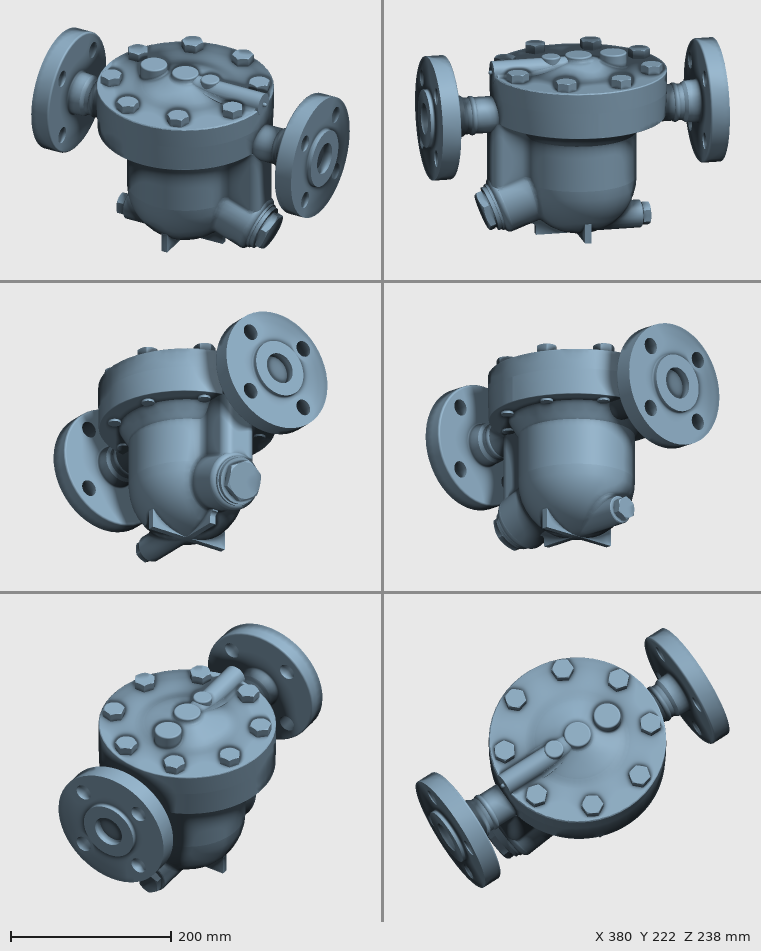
import cadquery as cq
import math


quarter_arc = math.sqrt(0.5)

inlet_face_x = -182.5
outlet_face_x = 197.5
flange_diameter = 156.0
flange_thickness = 24.0
flange_edge_round = 2.5
raised_face_diameter = 73.0
raised_face_height = 6.0
raised_face_fillet = 2.0
bore_diameter = 40.0
bore_depth = 12.0
flange_hole_diameter = 21.0
flange_hole_circle = 115.0
flange_hole_count = 4
first_flange_hole_angle = 45.0
hub_base_diameter = 58.0
hub_fillet = 2.0
hub_end_diameter = 52.0
hub_length = 16.5
hub_taper_length = 4.5
pipe_diameter = 46.0
weld_diameter = 49.5
weld_length = 7.0
weld_middle = 30.0
pipe_inner_end_x = 40.0

body_radius = 73.0
dome_center_z = -87.0
body_bottom_z = dome_center_z - body_radius
flare_bottom_z = -28.0
flare_top_radius = 85.5

cover_diameter = 222.0
cover_radius = cover_diameter / 2
cover_top_z = 52.0
joint_z = 26.0
body_flange_bottom_z = -7.0
body_flange_draft = 2.0
cover_edge_round = 1.5
body_flange_edge_round = 1.0

crown_base_diameter = 130.0
crown_cone_start_radius = 53.5
crown_cone_start_z = cover_top_z + 1.6
crown_cone_end_z = 64.5
boss_top_z = 71.0
boss_diameter = 34.0
boss_edge_round = 2.0
center_boss_fillet = 4.5
side_boss_x = -44.5
side_boss_fillet = 2.0
small_boss_x = 35.3
small_boss_diameter = 24.0

channel_radius = 14.4
channel_axis_z = 54.3
channel_fillet = 5.0
channel_foot_end_x = 107.0
channel_boss_overlap = 1.0
pin_diameter = 5.4
pin_tip_x = 115.4
pin_tip_round = 2.4

bolt_count = 8
bolt_circle = 186.0
bolt_hex_flats = 24.0
bolt_head_height = 11.0
bolt_shank_diameter = 16.0
bolt_protrusion = 3.0

column_half_width = 24.0
column_outer_x = 114.4
column_corner_radius = 12.5
column_fillet = 10.0

port_tilt = 20.0
port_end_x = 123.7
port_end_z = -127.2
port_radius = 36.5
port_shoulder_start = 27.0
port_collar_start = 19.0
port_collar_radius = 31.0
port_rim_start = 16.0
port_rim_radius = 29.0
port_rim_end = 11.0
port_neck_diameter = 45.9
port_hex_flats = 46.0
port_hex_length = 9.0
port_end_root = 54.0
port_fillet = 6.0

port_seam_half_width = 40.0
port_dome_seam_x = (50.0, 60.0)
port_dome_seam_z = (-122.0, -115.0)
port_column_seam_x = (60.0, 105.5)
port_column_seam_z = (-95.0, -78.0)

drain_diameter = 35.0
drain_rise = 0.3
drain_axis_z = body_bottom_z + drain_diameter / 2 + drain_rise
drain_boss_end_x = -79.5
drain_edge_chamfer = 1.0
drain_fillet = 5.0
drain_neck_diameter = 24.0
drain_neck_length = 1.7
drain_hex_flats = 26.0
drain_hex_length = 9.5

selection_margin = 0.1

foot_thickness = 8.0
cross_foot_width = 111.0
cross_foot_top_z = -135.0
long_foot_end_x = 55.0
long_foot_end_height = 9.0
long_foot_corner_radius = 6.0


def edges_in(shape, low, high):
    """Edges of a shape whose centres lie in the box between two corners."""
    return shape.edges(cq.selectors.BoxSelector(low, high))


def hex_head(flats, height):
    """Hexagonal head along +Z from Z = 0, corners on X, outer corners turned to a cone."""
    corners = flats / math.cos(math.radians(30))
    cone_rise = (corners - flats) / 2 * math.tan(math.radians(30))
    prism = cq.Workplane("XY").polygon(6, corners).extrude(height)
    turned = (
        cq.Workplane("XZ")
        .moveTo(0, 0)
        .lineTo(corners / 2, 0)
        .lineTo(corners / 2, height - cone_rise)
        .lineTo(flats / 2, height)
        .lineTo(0, height)
        .close()
        .revolve(360, (0, 0), (0, 1))
    )
    return prism.intersect(turned)


def pipe_end(face_x, toward_body):
    """Flange, hub, weld bead and pipe; built along +Z from the sealing face, then laid on X."""
    back_z = raised_face_height + flange_thickness
    hub_end_z = back_z + hub_length
    taper_end_z = hub_end_z + hub_taper_length
    weld_start_z = back_z + weld_middle - weld_length / 2
    weld_end_z = weld_start_z + weld_length
    pipe_length = abs(face_x) - pipe_inner_end_x
    face_radius = raised_face_diameter / 2
    pipe_radius = pipe_diameter / 2
    hub_radius = hub_base_diameter / 2 - hub_fillet
    arc_offset = 1 - quarter_arc
    profile = (
        cq.Workplane("XZ")
        .moveTo(0, 0)
        .lineTo(face_radius, 0)
        .lineTo(face_radius, raised_face_height - raised_face_fillet)
        .threePointArc(
            (face_radius + raised_face_fillet * arc_offset,
             raised_face_height - raised_face_fillet * arc_offset),
            (face_radius + raised_face_fillet, raised_face_height),
        )
        .lineTo(flange_diameter / 2, raised_face_height)
        .lineTo(flange_diameter / 2, back_z - flange_edge_round)
        .threePointArc(
            (flange_diameter / 2 - flange_edge_round * arc_offset,
             back_z - flange_edge_round * arc_offset),
            (flange_diameter / 2 - flange_edge_round, back_z),
        )
        .lineTo(hub_base_diameter / 2, back_z)
        .threePointArc(
            (hub_radius + hub_fillet * arc_offset, back_z + hub_fillet * arc_offset),
            (hub_radius, back_z + hub_fillet),
        )
        .lineTo(hub_end_diameter / 2, hub_end_z)
        .lineTo(pipe_radius, taper_end_z)
        .lineTo(pipe_radius, weld_start_z)
        .threePointArc((weld_diameter / 2, back_z + weld_middle), (pipe_radius, weld_end_z))
        .lineTo(pipe_radius, pipe_length)
        .lineTo(0, pipe_length)
        .close()
    )
    end = profile.revolve(360, (0, 0), (0, 1))
    holes = (
        cq.Workplane("XY")
        .polarArray(flange_hole_circle / 2, first_flange_hole_angle, 360, flange_hole_count)
        .circle(flange_hole_diameter / 2)
        .extrude(back_z)
    )
    bore = cq.Workplane("XY").circle(bore_diameter / 2).extrude(bore_depth)
    end = end.cut(holes).cut(bore)
    return end.rotate((0, 0, 0), (0, 1, 0), 90 * toward_body).translate((face_x, 0, 0))


def vessel():
    """Cylinder with a hemispherical bottom and a flare up to the body flange."""
    return (
        cq.Workplane("XZ")
        .moveTo(0, body_bottom_z)
        .threePointArc(
            (body_radius * quarter_arc, dome_center_z - body_radius * quarter_arc),
            (body_radius, dome_center_z),
        )
        .lineTo(body_radius, flare_bottom_z)
        .lineTo(flare_top_radius, body_flange_bottom_z)
        .lineTo(0, body_flange_bottom_z)
        .close()
        .revolve(360, (0, 0), (0, 1))
    )


def body_flange():
    """Flange with draft on its X sides only: round at the joint, slightly oval below."""
    return (
        cq.Workplane("XY", origin=(0, 0, joint_z))
        .circle(cover_radius)
        .workplane(offset=body_flange_bottom_z - joint_z)
        .ellipse(cover_radius - body_flange_draft, cover_radius)
        .loft(combine=True)
        .faces("<Z")
        .edges()
        .fillet(body_flange_edge_round)
    )


def cover_boss(x, diameter):
    """Round boss on the cover at a given X, with a rounded top edge."""
    return (
        cq.Workplane("XY", origin=(x, 0, joint_z))
        .circle(diameter / 2)
        .extrude(boss_top_z - joint_z)
        .faces(">Z")
        .edges()
        .fillet(boss_edge_round)
    )


def crown():
    """Shallow cone on the cover, blended into the flat top by an arc tangent to it."""
    base_radius = crown_base_diameter / 2
    run = base_radius - crown_cone_start_radius
    rise = crown_cone_start_z - cover_top_z
    blend_radius = (run**2 + rise**2) / (2 * rise)
    half_angle = math.atan2(rise, run)
    blend_middle = (
        base_radius - blend_radius * math.sin(half_angle),
        cover_top_z + blend_radius * (1 - math.cos(half_angle)),
    )
    return (
        cq.Workplane("XZ")
        .moveTo(0, joint_z)
        .lineTo(base_radius, joint_z)
        .lineTo(base_radius, cover_top_z)
        .threePointArc(blend_middle, (crown_cone_start_radius, crown_cone_start_z))
        .lineTo(boss_diameter / 2, crown_cone_end_z)
        .lineTo(0, crown_cone_end_z)
        .close()
        .revolve(360, (0, 0), (0, 1))
    )


def channel_foot_section(x, floor_z):
    """Section at X of the two concave fillets between the channel and a floor at floor_z."""
    rise = floor_z + channel_fillet - channel_axis_z
    reach = channel_radius + channel_fillet
    center_y = math.sqrt(reach**2 - rise**2)
    center_z = floor_z + channel_fillet
    touch_y = center_y * channel_radius / reach
    touch_z = channel_axis_z + rise * channel_radius / reach
    middle_angle = (math.atan2(-rise, -center_y) % (2 * math.pi) + 3 * math.pi / 2) / 2
    middle_y = center_y + channel_fillet * math.cos(middle_angle)
    middle_z = center_z + channel_fillet * math.sin(middle_angle)
    return (
        cq.Workplane("YZ", origin=(x, 0, 0))
        .moveTo(-center_y, joint_z)
        .lineTo(-center_y, floor_z)
        .threePointArc((-middle_y, middle_z), (-touch_y, touch_z))
        .lineTo(touch_y, touch_z)
        .threePointArc((middle_y, middle_z), (center_y, floor_z))
        .lineTo(center_y, joint_z)
        .close()
    )


def crown_height(x):
    """Height of the crown cone beside the channel at a given X, not below the cover top."""
    slope = (crown_cone_end_z - crown_cone_start_z) / (crown_cone_start_radius - boss_diameter / 2)
    radius = math.hypot(x, channel_radius)
    return max(cover_top_z, crown_cone_start_z + slope * (crown_cone_start_radius - radius))


def channel():
    """Round-topped channel running radially from the centre boss to the +X rim, with a pin."""
    round_top = (
        cq.Workplane("YZ", origin=(0, 0, channel_axis_z))
        .circle(channel_radius)
        .extrude(cover_radius)
    )
    crown_edge_x = crown_base_diameter / 2
    level_length = channel_foot_end_x - crown_edge_x
    level_foot = channel_foot_section(crown_edge_x, cover_top_z).extrude(level_length)
    start_x = boss_diameter / 2 - channel_boss_overlap
    middle_x = (start_x + crown_edge_x) / 2
    stations = [start_x, middle_x, crown_edge_x]
    wires = [channel_foot_section(x, crown_height(x)).val() for x in stations]
    sloped_foot = cq.Workplane(cq.Solid.makeLoft(wires))
    pin_radius = pin_diameter / 2
    pin = (
        cq.Workplane("YZ", origin=(cover_radius / 2, 0, channel_axis_z))
        .circle(pin_radius)
        .extrude(pin_tip_x - cover_radius / 2)
        .faces(">X")
        .edges()
        .fillet(pin_tip_round)
    )
    return round_top.union(level_foot).union(sloped_foot).union(pin)


def cover():
    """Cover plate with its crown, bosses and channel."""
    plate = (
        cq.Workplane("XY", origin=(0, 0, joint_z))
        .circle(cover_radius)
        .extrude(cover_top_z - joint_z)
        .faces(">Z")
        .edges()
        .fillet(cover_edge_round)
    )
    with_center = plate.union(crown()).union(cover_boss(0, boss_diameter))
    root_low = (-selection_margin, -selection_margin, crown_cone_end_z - selection_margin)
    root_high = (selection_margin, selection_margin, crown_cone_end_z + selection_margin)
    center_root = edges_in(with_center, root_low, root_high)
    with_side = center_root.fillet(center_boss_fillet).union(cover_boss(side_boss_x, boss_diameter))
    side_low = (side_boss_x - boss_diameter / 2, -boss_diameter / 2, cover_top_z)
    side_high = (side_boss_x + boss_diameter / 2, boss_diameter / 2, crown_cone_end_z)
    rounded = edges_in(with_side, side_low, side_high).fillet(side_boss_fillet)
    return rounded.union(channel()).union(cover_boss(small_boss_x, small_boss_diameter))


def cover_bolts():
    """Bolt heads on the cover and the shank ends below the body flange."""
    shank_bottom_z = body_flange_bottom_z - bolt_protrusion
    pitch = 360 / bolt_count
    head = (
        hex_head(bolt_hex_flats, bolt_head_height)
        .rotate((0, 0, 0), (0, 0, 1), pitch / 2)
        .translate((0, 0, cover_top_z))
    )
    shank = (
        cq.Workplane("XY", origin=(0, 0, shank_bottom_z))
        .circle(bolt_shank_diameter / 2)
        .extrude(cover_top_z - shank_bottom_z)
    )
    first_bolt = head.union(shank).translate((bolt_circle / 2, 0, 0))
    bolts = cq.Workplane("XY")
    for index in range(bolt_count):
        bolts = bolts.add(first_bolt.rotate((0, 0, 0), (0, 0, 1), (index + 0.5) * pitch))
    return bolts.combine()


def port_height_at(x):
    """Height of the tilted port axis at a given X."""
    return port_end_z + (port_end_x - x) * math.tan(math.radians(port_tilt))


def column():
    """Flat-sided column with rounded outer corners, blended into the body by concave arcs."""
    arc_center_y = column_half_width + column_fillet
    arc_distance = body_radius + column_fillet
    arc_center_x = math.sqrt(arc_distance**2 - arc_center_y**2)
    touch_x = arc_center_x * body_radius / arc_distance
    touch_y = arc_center_y * body_radius / arc_distance
    touch_angle = math.pi + math.atan2(arc_center_y, arc_center_x)
    middle_angle = (touch_angle + 3 * math.pi / 2) / 2
    middle_x = arc_center_x + column_fillet * math.cos(middle_angle)
    middle_y = arc_center_y + column_fillet * math.sin(middle_angle)
    corner_x = column_outer_x - column_corner_radius
    corner_y = column_half_width - column_corner_radius
    corner_reach = column_corner_radius * quarter_arc
    section = (
        cq.Workplane("XY", origin=(0, 0, body_bottom_z))
        .moveTo(0, -touch_y)
        .lineTo(touch_x, -touch_y)
        .threePointArc((middle_x, -middle_y), (arc_center_x, -column_half_width))
        .lineTo(corner_x, -column_half_width)
        .threePointArc(
            (corner_x + corner_reach, -corner_y - corner_reach), (column_outer_x, -corner_y)
        )
        .lineTo(column_outer_x, corner_y)
        .threePointArc((corner_x + corner_reach, corner_y + corner_reach), (corner_x, column_half_width))
        .lineTo(arc_center_x, column_half_width)
        .threePointArc((middle_x, middle_y), (touch_x, touch_y))
        .lineTo(0, touch_y)
        .close()
        .extrude(body_flange_bottom_z - body_bottom_z)
    )
    overlap_rise = port_radius / 2
    above_port = (
        cq.Workplane("XZ")
        .moveTo(0, body_flange_bottom_z)
        .lineTo(column_outer_x, body_flange_bottom_z)
        .lineTo(column_outer_x, port_height_at(column_outer_x) + overlap_rise)
        .lineTo(0, port_height_at(0) + overlap_rise)
        .close()
        .extrude(body_radius, both=True)
    )
    return section.intersect(above_port)


def place_on_port(shape):
    """Move a shape built along +Z, with Z = 0 at the plug face, onto the tilted port axis."""
    return shape.rotate((0, 0, 0), (0, 1, 0), 90 + port_tilt).translate((port_end_x, 0, port_end_z))


def port_barrel():
    """Straight barrel of the port, from the shoulder back into the body."""
    depth = port_end_x / math.cos(math.radians(port_tilt))
    barrel = (
        cq.Workplane("XY", origin=(0, 0, -depth))
        .circle(port_radius)
        .extrude(depth - port_shoulder_start)
    )
    return place_on_port(barrel)


def port_end():
    """Rounded shoulder, collar, rim, neck and hexagonal plug at the end of the port."""
    shoulder_width = port_radius - port_collar_radius
    shoulder_length = port_shoulder_start - port_collar_start
    turned = (
        cq.Workplane("XZ")
        .moveTo(0, -port_end_root)
        .lineTo(port_collar_radius, -port_end_root)
        .lineTo(port_radius, -port_shoulder_start)
        .threePointArc(
            (port_radius - shoulder_width * (1 - quarter_arc),
             -port_shoulder_start + shoulder_length * quarter_arc),
            (port_collar_radius, -port_collar_start),
        )
        .lineTo(port_collar_radius, -port_rim_start)
        .lineTo(port_rim_radius, -port_rim_start)
        .lineTo(port_rim_radius, -port_rim_end)
        .lineTo(port_neck_diameter / 2, -port_rim_end)
        .lineTo(port_neck_diameter / 2, -port_hex_length)
        .lineTo(0, -port_hex_length)
        .close()
        .revolve(360, (0, 0), (0, 1))
    )
    plug = hex_head(port_hex_flats, port_hex_length).translate((0, 0, -port_hex_length))
    return place_on_port(turned.union(plug))


def drain_boss():
    """Horizontal boss low on the -X side, with a chamfered end."""
    return (
        cq.Workplane("YZ", origin=(drain_boss_end_x, 0, drain_axis_z))
        .circle(drain_diameter / 2)
        .extrude(-drain_boss_end_x)
        .faces("<X")
        .edges()
        .chamfer(drain_edge_chamfer)
    )


def drain_plug():
    """Neck and hexagonal head with two corners on Z."""
    neck = (
        cq.Workplane("YZ", origin=(drain_boss_end_x, 0, drain_axis_z))
        .circle(drain_neck_diameter / 2)
        .extrude(-drain_neck_length)
    )
    head = (
        hex_head(drain_hex_flats, drain_hex_length)
        .rotate((0, 0, 0), (0, 1, 0), -90)
        .translate((drain_boss_end_x - drain_neck_length, 0, drain_axis_z))
    )
    return neck.union(head)


def feet():
    """Plate across the bottom and a second plate along +X that ends in a notch below the port."""
    cross_foot = (
        cq.Workplane("XY", origin=(0, 0, body_bottom_z))
        .rect(foot_thickness, cross_foot_width)
        .extrude(cross_foot_top_z - body_bottom_z)
    )
    corner_z = body_bottom_z + long_foot_end_height
    corner_reach = long_foot_corner_radius * quarter_arc
    notch_x = long_foot_end_x + long_foot_corner_radius
    notch_z = corner_z + long_foot_corner_radius
    long_foot = (
        cq.Workplane("XZ")
        .moveTo(0, body_bottom_z)
        .lineTo(long_foot_end_x, body_bottom_z)
        .lineTo(long_foot_end_x, corner_z)
        .threePointArc((notch_x - corner_reach, corner_z + corner_reach), (notch_x, notch_z))
        .lineTo(notch_x, dome_center_z)
        .lineTo(0, dome_center_z)
        .close()
        .extrude(foot_thickness / 2, both=True)
    )
    return cross_foot.union(long_foot)


def body():
    """Vessel, drain boss, column and port barrel with the fillets where they meet."""
    casting = vessel().union(drain_boss())
    casting = casting.edges("%BSPLINE").fillet(drain_fillet)
    casting = casting.union(column()).union(port_barrel())
    dome_low = (port_dome_seam_x[0], -port_seam_half_width, port_dome_seam_z[0])
    dome_high = (port_dome_seam_x[1], port_seam_half_width, port_dome_seam_z[1])
    column_low = (port_column_seam_x[0], -port_seam_half_width, port_column_seam_z[0])
    column_high = (port_column_seam_x[1], port_seam_half_width, port_column_seam_z[1])
    seam = edges_in(casting, dome_low, dome_high)
    seam = seam.add(edges_in(casting, column_low, column_high))
    return seam.fillet(port_fillet)


result = (
    body()
    .union(port_end())
    .union(feet())
    .union(drain_plug())
    .union(body_flange())
    .union(cover())
    .union(cover_bolts())
    .union(pipe_end(inlet_face_x, 1))
    .union(pipe_end(outlet_face_x, -1))
)